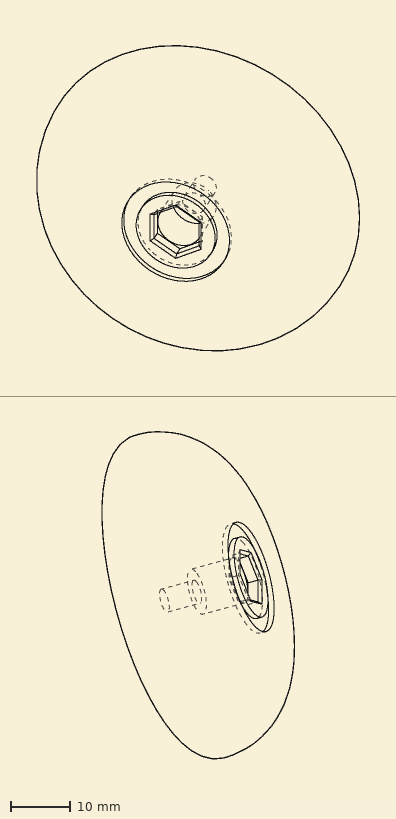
import cadquery as cq
import math

outer_diameter = 56.5
front_round = 13.0
back_round = 3.0
width = front_round + back_round

groove_outer_diameter = 19.1
groove_inner_diameter = 14.0
groove_depth = 1.0

hex_across_flats = 8.0
hex_mouth_bevel = 0.5
hex_depth = 2.3
bore_diameter = 7.85
bore_depth = 10.0
through_diameter = 4.0

front_y = -width / 2
back_y = width / 2


def front_plane(depth=0.0):
    """Workplane at a depth below the front face, with its normal pointing into the wheel."""
    return cq.Workplane(cq.Plane((0, front_y + depth, 0), xDir=(1, 0, 0), normal=(0, 1, 0)))


def hexagon_wire(across_flats, depth):
    """Hexagon with corners pointing along +Z and -Z."""
    corner_radius = across_flats / math.sqrt(3)
    angles = [math.radians(90 + 60 * i) for i in range(6)]
    corners = [
        cq.Vector(corner_radius * math.cos(a), front_y + depth, corner_radius * math.sin(a))
        for a in angles
    ]
    return cq.Wire.makePolygon(corners, close=True)


def wheel_body():
    """Half section revolved about Y, with tangent rounds meeting at the widest circle."""
    radius = outer_diameter / 2
    widest_y = front_y + front_round
    diagonal = math.sqrt(0.5)
    front_mid = (radius - front_round * (1 - diagonal), widest_y - front_round * diagonal)
    back_mid = (radius - back_round * (1 - diagonal), widest_y + back_round * diagonal)
    return (
        cq.Workplane("XY")
        .moveTo(0, front_y)
        .lineTo(radius - front_round, front_y)
        .threePointArc(front_mid, (radius, widest_y))
        .threePointArc(back_mid, (radius - back_round, back_y))
        .lineTo(0, back_y)
        .close()
        .revolve(360, (0, 0, 0), (0, 1, 0))
    )


def ring_groove():
    return (
        front_plane()
        .circle(groove_outer_diameter / 2)
        .circle(groove_inner_diameter / 2)
        .extrude(groove_depth)
    )


def hex_socket():
    mouth = hexagon_wire(hex_across_flats + 2 * hex_mouth_bevel, 0)
    bevel_end = hexagon_wire(hex_across_flats, hex_mouth_bevel)
    floor = hexagon_wire(hex_across_flats, hex_depth)
    bevel = cq.Solid.makeLoft([mouth, bevel_end], True)
    straight = cq.Solid.makeLoft([bevel_end, floor], True)
    return cq.Workplane(obj=bevel).union(cq.Workplane(obj=straight))


def stepped_bore():
    bore = front_plane().circle(bore_diameter / 2).extrude(bore_depth)
    through_hole = front_plane().circle(through_diameter / 2).extrude(width)
    return bore.union(through_hole)


result = wheel_body().cut(ring_groove()).cut(hex_socket()).cut(stepped_bore())